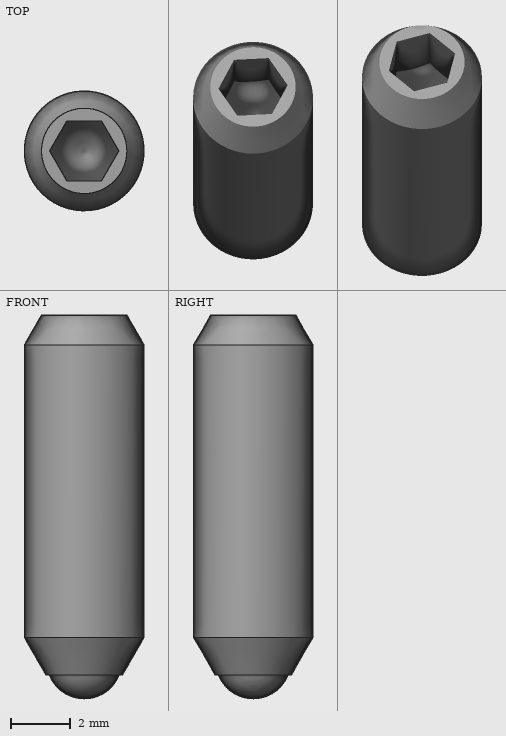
import cadquery as cq
import math

body_diameter = 4.0
body_length = 12.0
flank_angle = 60.0
top_cone_height = 1.0
tip_cone_height = 1.25

ball_diameter = 2.5
ball_protrusion = 0.8

hex_sides = 6
hex_across_flats = 2.0
hex_depth = 2.0
drill_point_angle = 120.0

body_radius = body_diameter / 2
flank_slope = math.tan(math.radians(flank_angle))
top_face_radius = body_radius - top_cone_height / flank_slope
tip_face_radius = body_radius - tip_cone_height / flank_slope

ball_radius = ball_diameter / 2
ball_center_z = ball_radius - ball_protrusion

hex_across_corners = hex_across_flats / math.cos(math.pi / hex_sides)
hex_corner_radius = hex_across_corners / 2
drill_point_depth = hex_corner_radius / math.tan(math.radians(drill_point_angle / 2))
socket_corner_z = body_length - hex_depth
socket_bottom_z = socket_corner_z - drill_point_depth


def make_ball():
    """Spherical ball that stands out of the tip of the body."""
    return cq.Workplane("XY").sphere(ball_radius).translate((0, 0, ball_center_z))


def make_hex_socket():
    """Hexagonal prism with corners along X, ending in a drill point."""
    prism = (
        cq.Workplane("XY", origin=(0, 0, socket_bottom_z))
        .polygon(hex_sides, hex_across_corners)
        .extrude(body_length - socket_bottom_z)
    )
    drilled_hole = (
        cq.Workplane("XZ")
        .moveTo(0, socket_bottom_z)
        .lineTo(hex_corner_radius, socket_corner_z)
        .lineTo(hex_corner_radius, body_length)
        .lineTo(0, body_length)
        .close()
        .revolve(360, (0, 0, 0), (0, 1, 0))
    )
    return prism.intersect(drilled_hole)


def make_body():
    """Cylinder with a cone at each end, a hex socket on top and a ball seat in the tip."""
    blank = (
        cq.Workplane("XZ")
        .moveTo(0, 0)
        .lineTo(tip_face_radius, 0)
        .lineTo(body_radius, tip_cone_height)
        .lineTo(body_radius, body_length - top_cone_height)
        .lineTo(top_face_radius, body_length)
        .lineTo(0, body_length)
        .close()
        .revolve(360, (0, 0, 0), (0, 1, 0))
    )
    return blank.cut(make_hex_socket()).cut(make_ball()).solids()


body = make_body()
ball = make_ball()

result = cq.Compound.makeCompound([body.val(), ball.val()])